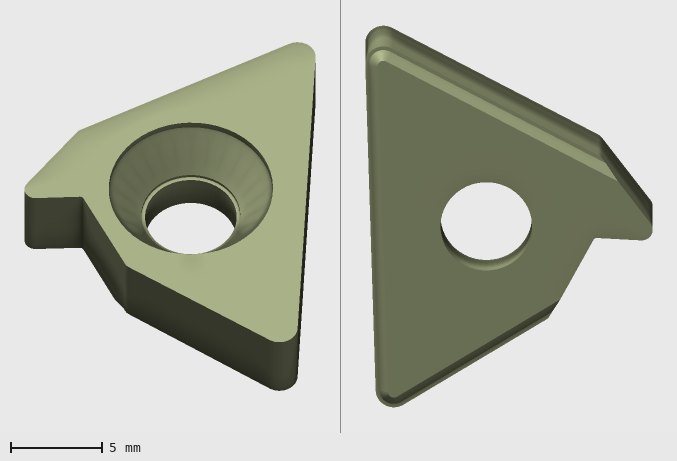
import cadquery as cq
import math

inscribed_radius = 6.35
corner_radius = 1.0
max_height = 5.02
top_tilt = 1.0

tooth_x = -3.85
tooth_bottom_y = -8.2
tooth_tip_radius = 0.6
flank_angle = 25.0
flat_y = -5.54
blend_radius = 0.6
root_radius = 0.22

bevel_height = 0.48
bevel_ledge = 0.2
bevel_angle = 45.0

hole_radius = 2.5
seat_radius = 2.71
head_radius = 4.5
head_wall_depth = 0.7
cone_depth = 2.0
seat_depth = 0.18

tip_x = 2 * inscribed_radius - corner_radius
cut_margin = 0.92


def triangle(inset, height, taper=0.0):
    """Rounded equilateral prism on z = 0, with one corner pointing to +X."""
    core_vertex = 2 * (inscribed_radius - corner_radius)
    core = [
        (core_vertex * math.cos(math.radians(a)), core_vertex * math.sin(math.radians(a)))
        for a in (0, 120, 240)
    ]
    sketch = cq.Workplane("XY").polyline(core).close().offset2D(corner_radius - inset)
    return sketch.extrude(height, taper=taper)


def outline_body():
    """Full-height prism with the tooth and the relieved side."""
    angle = math.radians(flank_angle)
    apex_y = tooth_bottom_y + tooth_tip_radius - tooth_tip_radius / math.sin(angle)
    left_y = apex_y + (tooth_x + inscribed_radius) / math.tan(angle)
    root_x = tooth_x + (flat_y - apex_y) * math.tan(angle)
    flat_end_x = 2 * inscribed_radius + math.sqrt(3) * flat_y
    left_top = (-inscribed_radius, math.sqrt(3) * inscribed_radius)

    corners = [
        (left_top, corner_radius),
        ((-inscribed_radius, left_y), blend_radius),
        ((tooth_x, apex_y), tooth_tip_radius),
        ((root_x, flat_y), root_radius),
        ((flat_end_x, flat_y), blend_radius),
        ((2 * inscribed_radius, 0), corner_radius),
    ]
    body = cq.Workplane("XY").polyline([point for point, _ in corners]).close().extrude(max_height)
    for (x, y), radius in corners:
        edge = cq.selectors.NearestToPointSelector((x, y, max_height / 2))
        body = body.edges("|Z").edges(edge).fillet(radius)
    return body


def bevelled_envelope():
    """Triangle that narrows at the underside; the tooth lies inside it."""
    slope_width = bevel_height * math.tan(math.radians(bevel_angle))
    lower = triangle(bevel_ledge + slope_width, bevel_height, -bevel_angle)
    upper = triangle(0, max_height - bevel_height).translate((0, 0, bevel_height))
    return lower.union(upper)


def above_top():
    """Wedge above the tilted top face."""
    left_x = -inscribed_radius - cut_margin
    low_z = max_height - (tip_x - left_x) * math.tan(math.radians(top_tilt))
    profile = [(left_x, low_z), (tip_x, max_height), (tip_x, max_height + cut_margin),
               (left_x, max_height + cut_margin)]
    return cq.Workplane("XZ").polyline(profile).close().extrude(2 * inscribed_radius, both=True)


def screw_hole():
    """Revolved cutter: through hole, narrow seat, countersink and head wall."""
    cone_top_z = max_height - head_wall_depth
    cone_bottom_z = cone_top_z - cone_depth
    seat_z = cone_bottom_z - seat_depth
    profile = [
        (0, 0),
        (hole_radius, 0),
        (hole_radius, seat_z),
        (seat_radius, seat_z),
        (seat_radius, cone_bottom_z),
        (head_radius, cone_top_z),
        (head_radius, max_height),
        (0, max_height),
    ]
    return cq.Workplane("XZ").polyline(profile).close().revolve(360, (0, 0), (0, 1))


result = outline_body().intersect(bevelled_envelope()).cut(above_top()).cut(screw_hole())